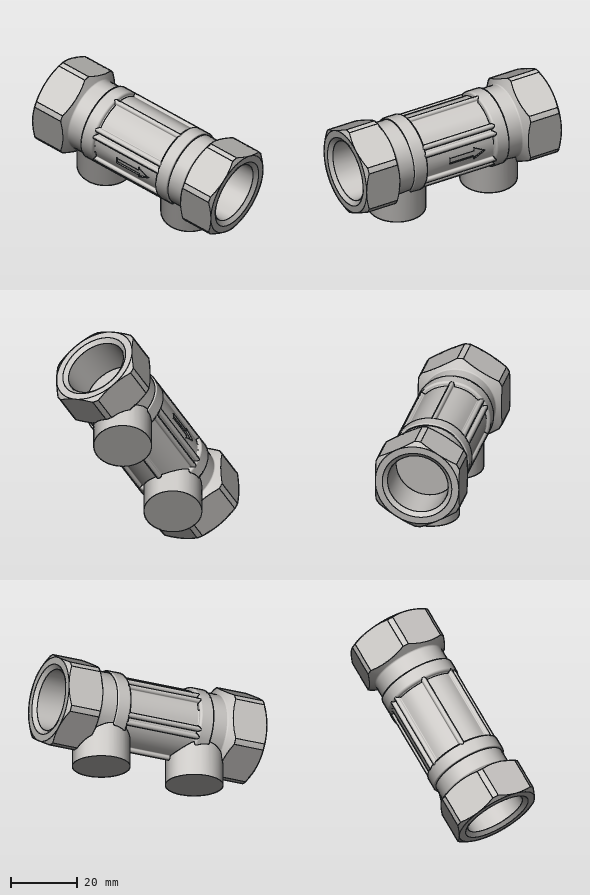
import cadquery as cq
import math

LENGTH = 68.0

HEX_ACROSS_FLATS = 26.0
HEX_CORNER_RADIUS = 14.5
HEX_CORNER_END = 10.75
CHAMFER_ANGLE = math.radians(30)

NECK_RADIUS = 11.4
NECK_START = HEX_CORNER_END + (HEX_CORNER_RADIUS - NECK_RADIUS) * math.tan(CHAMFER_ANGLE)
NECK_FILLET = 0.5
COLLAR_RADIUS = 12.05
COLLAR_START = 17.55
COLLAR_ROUND_START = 21.35
COLLAR_EDGE_FILLET = 0.4
BARREL_RADIUS = 10.9

RIB_RADIUS = 0.8
RIB_FILLET = 0.3
RIB_CENTRE = COLLAR_RADIUS - RIB_RADIUS
FILLET_CENTRE = BARREL_RADIUS + RIB_FILLET
RIB_ANGLES = (-36, -24, 24, 36, 90, 144, 156, 204, 216, 270)

PORT_RADIUS = 8.8
PORT_CENTRE = 18.0
PORT_BOTTOM = -18.5

BORE_RADIUS = 9.45
BORE_MOUTH_RADIUS = 10.8
BORE_MOUTH_DEPTH = 1.1
BORE_DEPTH = 12.6

ARROW_START = 30.3
ARROW_HEAD_START = 38.7
ARROW_TIP = 42.5
ARROW_SHAFT_WIDTH = 2.05
ARROW_HEAD_WIDTH = 4.0
ARROW_DEPTH = 0.55


def cylinder_along_x(radius, start, length):
    return cq.Workplane("YZ", origin=(start, 0, 0)).circle(radius).extrude(length)


def mirrored_pair(solid):
    """The solid joined with its mirror image at the other end of the part."""
    return solid.union(solid.mirror("YZ", (LENGTH / 2, 0, 0)))


def hex_end():
    """Hexagon with its corners turned off and both ends coned, tapering down to the neck."""
    flat_radius = HEX_ACROSS_FLATS / 2
    front_cone = (HEX_CORNER_RADIUS - flat_radius) * math.tan(CHAMFER_ANGLE)
    edge_reach = 0.1
    turned = (
        cq.Workplane("XY")
        .moveTo(0, 0)
        .lineTo(0, flat_radius)
        .lineTo(front_cone, HEX_CORNER_RADIUS)
        .lineTo(HEX_CORNER_END, HEX_CORNER_RADIUS)
        .lineTo(NECK_START, NECK_RADIUS)
        .lineTo(COLLAR_START, NECK_RADIUS)
        .lineTo(COLLAR_START, 0)
        .close()
        .revolve(360, (0, 0, 0), (1, 0, 0))
    )
    neck_corner = cq.selectors.BoxSelector(
        (NECK_START - edge_reach, -LENGTH, -LENGTH),
        (NECK_START + edge_reach, LENGTH, LENGTH),
    )
    turned = turned.edges(neck_corner).fillet(NECK_FILLET)
    hexagon = (
        cq.Workplane("YZ")
        .polygon(6, HEX_ACROSS_FLATS, circumscribed=True)
        .extrude(COLLAR_START)
    )
    return turned.intersect(hexagon)


def collar():
    """Raised ring whose inner edge rounds over and runs out into the barrel."""
    round_reach = math.sqrt((RIB_RADIUS + RIB_FILLET) ** 2 - (RIB_CENTRE - FILLET_CENTRE) ** 2)
    blend_share = RIB_RADIUS / (RIB_RADIUS + RIB_FILLET)
    barrel_start = COLLAR_ROUND_START + round_reach
    blend_x = COLLAR_ROUND_START + blend_share * round_reach
    blend_radius = RIB_CENTRE + blend_share * (FILLET_CENTRE - RIB_CENTRE)
    ring = (
        cq.Workplane("XY")
        .moveTo(COLLAR_START, 0)
        .lineTo(COLLAR_START, COLLAR_RADIUS)
        .lineTo(COLLAR_ROUND_START, COLLAR_RADIUS)
        .radiusArc((blend_x, blend_radius), RIB_RADIUS)
        .radiusArc((barrel_start, BARREL_RADIUS), -RIB_FILLET)
        .lineTo(barrel_start, 0)
        .close()
        .revolve(360, (0, 0, 0), (1, 0, 0))
    )
    return ring.faces("<X").edges().fillet(COLLAR_EDGE_FILLET)


def rib():
    """One rounded rib on the +Y side, with concave fillets down to the barrel."""
    centre_distance = RIB_RADIUS + RIB_FILLET
    fillet_y = (FILLET_CENTRE**2 + RIB_CENTRE**2 - centre_distance**2) / (2 * RIB_CENTRE)
    fillet_z = math.sqrt(FILLET_CENTRE**2 - fillet_y**2)
    blend_share = RIB_RADIUS / centre_distance
    blend_y = RIB_CENTRE + blend_share * (fillet_y - RIB_CENTRE)
    blend_z = blend_share * fillet_z
    foot_y = fillet_y * BARREL_RADIUS / FILLET_CENTRE
    foot_z = fillet_z * BARREL_RADIUS / FILLET_CENTRE
    return (
        cq.Workplane("YZ", origin=(COLLAR_ROUND_START, 0, 0))
        .moveTo(0, 0)
        .lineTo(foot_y, -foot_z)
        .radiusArc((blend_y, -blend_z), RIB_FILLET)
        .threePointArc((COLLAR_RADIUS, 0), (blend_y, blend_z))
        .radiusArc((foot_y, foot_z), RIB_FILLET)
        .close()
        .extrude(LENGTH - 2 * COLLAR_ROUND_START)
    )


def barrel():
    """Middle cylinder with its ribs, which run into the rounded edges of the collars."""
    solid = cylinder_along_x(BARREL_RADIUS, COLLAR_START, LENGTH - 2 * COLLAR_START)
    for angle in RIB_ANGLES:
        solid = solid.union(rib().rotate((0, 0, 0), (1, 0, 0), angle))
    return solid


def port():
    """Solid round stub from the body axis down to the port face."""
    return (
        cq.Workplane("XY", origin=(PORT_CENTRE, 0, PORT_BOTTOM))
        .circle(PORT_RADIUS)
        .extrude(-PORT_BOTTOM)
    )


def bore():
    """Blind bore with a conical mouth."""
    return (
        cq.Workplane("XY")
        .moveTo(0, 0)
        .lineTo(0, BORE_MOUTH_RADIUS)
        .lineTo(BORE_MOUTH_DEPTH, BORE_RADIUS)
        .lineTo(BORE_DEPTH, BORE_RADIUS)
        .lineTo(BORE_DEPTH, 0)
        .close()
        .revolve(360, (0, 0, 0), (1, 0, 0))
    )


def arrow_recess():
    """Arrow-shaped pocket whose floor follows the barrel."""
    half_shaft = ARROW_SHAFT_WIDTH / 2
    half_head = ARROW_HEAD_WIDTH / 2
    outline = (
        cq.Workplane("XZ")
        .moveTo(ARROW_START, -half_shaft)
        .lineTo(ARROW_HEAD_START, -half_shaft)
        .lineTo(ARROW_HEAD_START, -half_head)
        .lineTo(ARROW_TIP, 0)
        .lineTo(ARROW_HEAD_START, half_head)
        .lineTo(ARROW_HEAD_START, half_shaft)
        .lineTo(ARROW_START, half_shaft)
        .close()
        .extrude(COLLAR_RADIUS)
    )
    return outline.cut(cylinder_along_x(BARREL_RADIUS - ARROW_DEPTH, 0, LENGTH))


body = mirrored_pair(hex_end().union(collar())).union(barrel())
body = body.union(mirrored_pair(port()))
result = body.cut(mirrored_pair(bore())).cut(arrow_recess())